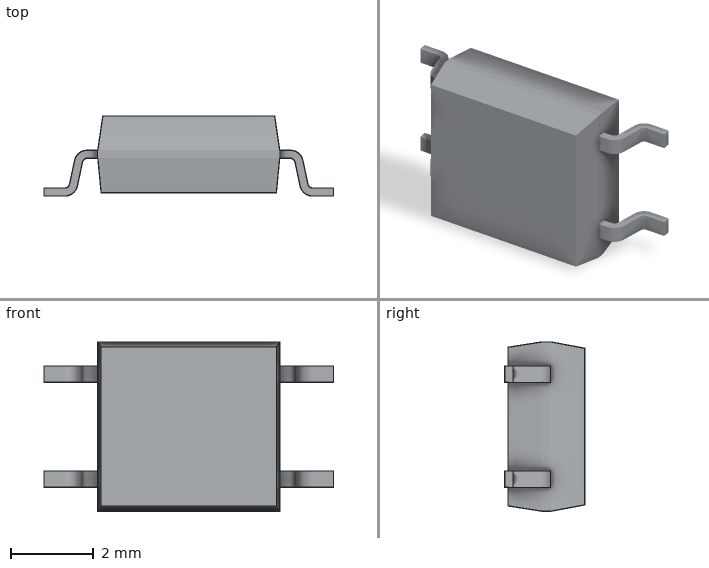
import cadquery as cq
import math

body_length = 4.4
body_height = 4.1
body_front = 0.08
body_back = 1.94
front_inset_x = 0.08
front_inset_z = 0.13
back_inset_x = 0.12
back_inset_z = 0.155

lead_span = 7.0
lead_width = 0.4
lead_thickness = 0.2
lead_pitch = 2.54
lead_top = 1.115
inner_bend_radius = 0.12
outer_bend_radius = inner_bend_radius + lead_thickness
foot_length = 0.5
shoulder_length = 0.25
lead_embed = 0.1

band_back = lead_top
band_front = lead_top - lead_thickness


def tapered_half(y_band, y_face, inset_x, inset_z):
    """Half of the body, tapering from the band to an end face."""
    return (
        cq.Workplane("XZ", origin=(0, y_band, 0))
        .rect(body_length, body_height)
        .workplane(offset=y_band - y_face)
        .rect(body_length - 2 * inset_x, body_height - 2 * inset_z)
        .loft(ruled=True, combine=True)
    )


def make_body():
    band = cq.Workplane("XY", origin=(0, (band_front + band_back) / 2, 0)).box(
        body_length, lead_thickness, body_height
    )
    front = tapered_half(band_front, body_front, front_inset_x, front_inset_z)
    back = tapered_half(band_back, body_back, back_inset_x, back_inset_z)
    return band.union(front).union(back)


def polar(center, radius, angle):
    """Point on a circle in the XY plane, at an angle from +X."""
    return (center[0] + radius * math.cos(angle), center[1] + radius * math.sin(angle))


def bend(profile, center, radius, start, end):
    """Add an arc that starts where the profile now ends."""
    middle = (start + end) / 2
    return profile.threePointArc(polar(center, radius, middle), polar(center, radius, end))


def make_lead(z_center):
    """Lead on the -X side, centered at the given Z."""
    tip_x = -lead_span / 2
    end_x = -body_length / 2 + lead_embed
    lower = (tip_x + foot_length, outer_bend_radius)
    upper = (-body_length / 2 - shoulder_length, lead_top - outer_bend_radius)

    run = upper[0] - lower[0]
    rise = upper[1] - lower[1]
    radius_sum = inner_bend_radius + outer_bend_radius
    slope = math.atan2(rise, run) + math.asin(radius_sum / math.hypot(run, rise))

    lower_flat = -math.pi / 2
    lower_leg = lower_flat + slope
    upper_flat = math.pi / 2
    upper_leg = upper_flat + slope

    profile = (
        cq.Workplane("XY", origin=(0, 0, z_center - lead_width / 2))
        .moveTo(tip_x, 0)
        .lineTo(lower[0], 0)
    )
    profile = bend(profile, lower, outer_bend_radius, lower_flat, lower_leg)
    profile = profile.lineTo(*polar(upper, inner_bend_radius, upper_leg))
    profile = bend(profile, upper, inner_bend_radius, upper_leg, upper_flat)
    profile = profile.lineTo(end_x, band_front).lineTo(end_x, lead_top).lineTo(upper[0], lead_top)
    profile = bend(profile, upper, outer_bend_radius, upper_flat, upper_leg)
    profile = profile.lineTo(*polar(lower, inner_bend_radius, lower_leg))
    profile = bend(profile, lower, inner_bend_radius, lower_leg, lower_flat)
    profile = profile.lineTo(tip_x, lead_thickness).close()
    return profile.extrude(lead_width)


result = make_body()
for z_center in (-lead_pitch / 2, lead_pitch / 2):
    lead = make_lead(z_center)
    result = result.union(lead).union(lead.mirror("YZ"))